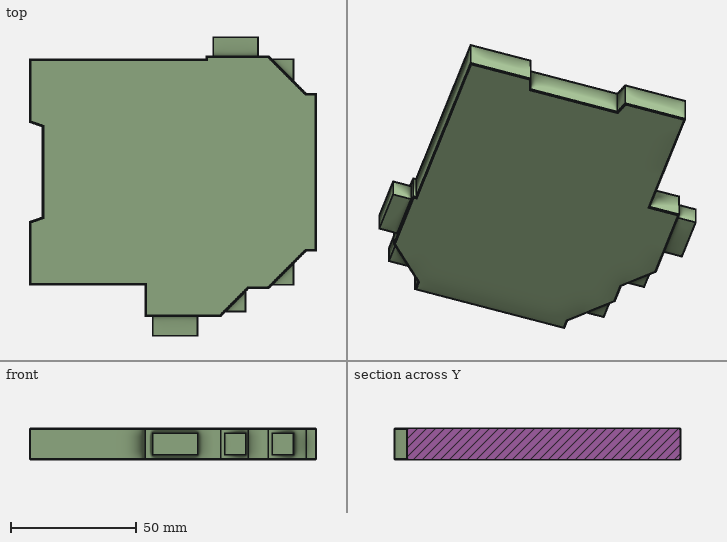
import cadquery as cq

length = 114.0
thickness = 12.7
edge_chamfer = 0.4

lower_wall_y = 7.9
rear_lower_y = 20.3
rear_upper_y = 110.3
upper_wall_y = 111.5
overall_y = 119.0

lower_step_x = 46.0
upper_step_x = 70.2
lower_shoulder_x = 76.0
shoulder_x = 95.0

slope_run = 15.0
lower_slope_run = 11.0
slope_end_x = shoulder_x + slope_run
front_upper_y = upper_wall_y - slope_run
middle_y = lower_wall_y + lower_slope_run
front_lower_y = middle_y + slope_run

notch_depth = 5.0
notch_mouth_width = 39.7
notch_floor_width = 36.2
notch_center_y = (rear_lower_y + rear_upper_y) / 2

plug_height = 8.7
long_plug_width = 17.9
lower_plug_x = 48.9
upper_plug_x = 73.0
square_plug_side = 8.6
front_plug_x = 96.5
lower_square_plug_x = 77.3
lower_square_plug_y = 9.6


def make_housing():
    """Extruded outline with a small chamfer around both flat faces."""
    mouth_half = notch_mouth_width / 2
    floor_half = notch_floor_width / 2
    outline = [
        (0, rear_lower_y),
        (lower_step_x, rear_lower_y),
        (lower_step_x, lower_wall_y),
        (lower_shoulder_x, lower_wall_y),
        (lower_shoulder_x + lower_slope_run, middle_y),
        (shoulder_x, middle_y),
        (slope_end_x, front_lower_y),
        (length, front_lower_y),
        (length, front_upper_y),
        (slope_end_x, front_upper_y),
        (shoulder_x, upper_wall_y),
        (upper_step_x, upper_wall_y),
        (upper_step_x, rear_upper_y),
        (0, rear_upper_y),
        (0, notch_center_y + mouth_half),
        (notch_depth, notch_center_y + floor_half),
        (notch_depth, notch_center_y - floor_half),
        (0, notch_center_y - mouth_half),
    ]
    slab = cq.Workplane("XY").polyline(outline).close().extrude(thickness)
    return slab.faces("<Z or >Z").edges().chamfer(edge_chamfer)


def make_plug(x_min, y_min, x_size, y_size):
    """Rectangular plug block centred in the housing thickness."""
    z_min = (thickness - plug_height) / 2
    block = cq.Workplane("XY").box(x_size, y_size, plug_height, centered=False)
    return block.translate((x_min, y_min, z_min))


plugs = [
    make_plug(lower_plug_x, 0, long_plug_width, lower_wall_y),
    make_plug(upper_plug_x, upper_wall_y, long_plug_width, overall_y - upper_wall_y),
    make_plug(lower_square_plug_x, lower_square_plug_y, square_plug_side, square_plug_side),
    make_plug(front_plug_x, rear_lower_y, square_plug_side, square_plug_side),
    make_plug(front_plug_x, rear_upper_y - square_plug_side, square_plug_side, square_plug_side),
]

result = make_housing()
for plug in plugs:
    result = result.union(plug)